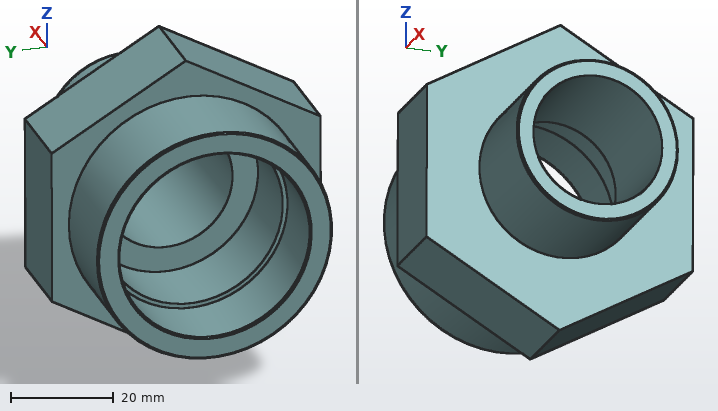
import cadquery as cq
import math

total_length = 57.0
hex_across_corners = 63.5
hex_tilt = 0.2

socket_diameter = 48.1
socket_length = 18.05
hex_width = 16.95
spigot_diameter = 33.3
hex_end = socket_length + hex_width
spigot_length = total_length - hex_end

socket_bore_diameter = 38.9
socket_bore_depth = 14.3
chamber_diameter = 37.0
floor_thickness = 5.1
chamber_depth = hex_end - floor_thickness
through_diameter = 26.6

edge_chamfer = 0.3


def cylinder(start, length, diameter):
    """Solid cylinder along +X, beginning at X = start."""
    return cq.Workplane("YZ", origin=(start, 0, 0)).circle(diameter / 2).extrude(length)


def hexagon():
    """Hexagonal collar with a corner close to +Z."""
    corner_radius = hex_across_corners / 2 / math.cos(math.radians(hex_tilt))
    corners = []
    for index in range(6):
        angle = math.radians(90 - hex_tilt + 60 * index)
        corners.append((corner_radius * math.cos(angle), corner_radius * math.sin(angle)))
    return (
        cq.Workplane("YZ", origin=(socket_length, 0, 0))
        .polyline(corners)
        .close()
        .extrude(hex_width)
    )


socket = cylinder(0, socket_length, socket_diameter).faces("<X").chamfer(edge_chamfer)
spigot = cylinder(hex_end, spigot_length, spigot_diameter).faces(">X").chamfer(edge_chamfer)
body = socket.union(hexagon()).union(spigot)

body = body.cut(cylinder(0, socket_bore_depth, socket_bore_diameter))
mouth_radius = socket_bore_diameter / 2 + edge_chamfer
mouth = cq.Workplane(cq.Solid.makeCone(
    mouth_radius, socket_bore_diameter / 2, edge_chamfer,
    cq.Vector(0, 0, 0), cq.Vector(1, 0, 0),
))
body = body.cut(mouth)
body = body.cut(cylinder(0, chamber_depth, chamber_diameter))
result = body.cut(cylinder(0, total_length, through_diameter))